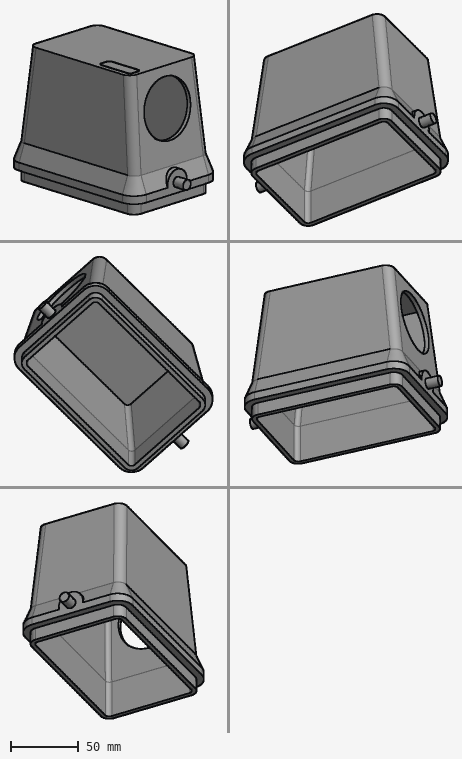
import cadquery as cq

total_height = 105.0
flange_bottom = 10.0
flange_top = 16.3
hood_base = 30.1

rim_length = 121.0
rim_width = 79.0
rim_radius = 7.0
flange_overhang = 5.5
top_length = 104.3
top_width = 71.3

wall = 3.5

peg_span = 152.0
peg_diameter = 8.0
peg_boss_diameter = 20.0
peg_height = 18.4

cable_hole_diameter = 48.3
cable_hole_height = 73.0

plate_length = 32.5
plate_width = 11.1
plate_radius = 3.0
plate_depth = 0.3
plate_x = 31.2
plate_y = -25.0

flange_length = rim_length + 2 * flange_overhang
flange_width = rim_width + 2 * flange_overhang
flange_radius = rim_radius + flange_overhang


def rounded_outline(length, width, radius):
    """Rectangle with rounded corners, centred on the part."""
    return cq.Sketch().rect(length, width).vertices().fillet(radius)


def prism(length, width, radius, bottom, top):
    """Straight rounded block between two heights."""
    outline = rounded_outline(length, width, radius)
    return cq.Workplane("XY", origin=(0, 0, bottom)).placeSketch(outline).extrude(top - bottom)


def tapered_block(lower, upper, bottom, top):
    """Loft between two (length, width, corner radius) sections."""
    outlines = []
    for (length, width, radius), height in ((lower, bottom), (upper, top)):
        outline = rounded_outline(length, width, radius)
        outlines.append(outline.moved(cq.Location(cq.Vector(0, 0, height))))
    return cq.Workplane("XY").placeSketch(*outlines).loft(ruled=True)


def x_cylinder(diameter, start, end, height):
    """Cylinder along X on the middle plane of the part."""
    return cq.Workplane("YZ", origin=(start, 0, height)).circle(diameter / 2).extrude(end - start)


def inset(outer):
    """Section moved inward by the wall thickness."""
    length, width, radius = outer
    return length - 2 * wall, width - 2 * wall, radius - wall


rim_section = (rim_length, rim_width, rim_radius)
flange_section = (flange_length, flange_width, flange_radius)
top_section = (top_length, top_width, rim_radius)

body = (
    prism(*rim_section, 0, hood_base)
    .union(prism(*flange_section, flange_bottom, flange_top))
    .union(tapered_block(flange_section, rim_section, flange_top, hood_base))
    .union(tapered_block(rim_section, top_section, hood_base, total_height))
)

boss_foot = cq.Workplane("XY", origin=(0, 0, flange_bottom)).box(
    flange_length, peg_boss_diameter, peg_height - flange_bottom, centered=(True, True, False)
)
boss_arch = x_cylinder(peg_boss_diameter, -flange_length / 2, flange_length / 2, peg_height)
boss_arch = boss_arch.intersect(prism(*flange_section, flange_bottom, hood_base))
pegs = x_cylinder(peg_diameter, -peg_span / 2, peg_span / 2, peg_height)
body = body.union(boss_foot).union(boss_arch).union(pegs)

inner_rim = inset(rim_section)
draft_share = (total_height - wall - hood_base) / (total_height - hood_base)
roof_section = (
    inner_rim[0] - (rim_length - top_length) * draft_share,
    inner_rim[1] - (rim_width - top_width) * draft_share,
    inner_rim[2],
)
body = body.cut(prism(*inner_rim, 0, hood_base))
body = body.cut(tapered_block(inner_rim, roof_section, hood_base, total_height - wall))

body = body.cut(x_cylinder(cable_hole_diameter, 0, rim_length / 2, cable_hole_height))

recess = prism(plate_length, plate_width, plate_radius, total_height - plate_depth, total_height)
result = body.cut(recess.translate((plate_x, plate_y, 0)))